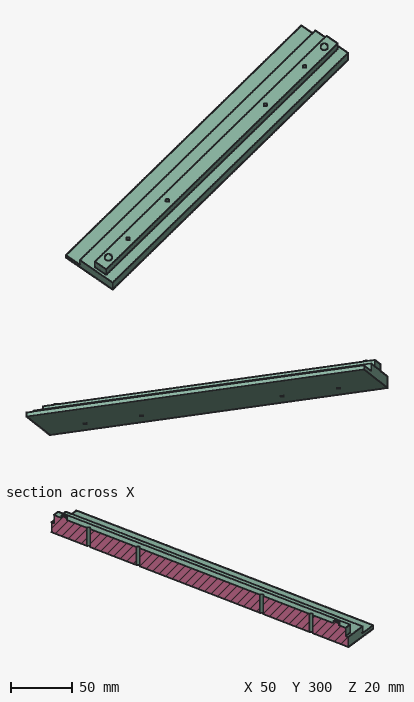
import cadquery as cq

BASE_LENGTH = 300.0
BASE_WIDTH = 50.0
BASE_HEIGHT = 10.0
LEDGE_WIDTH = 15.0
LEDGE_HEIGHT = 3.5

RAIL_WIDTH = 12.0
RAIL_HEIGHT = 8.0
RAIL_END_INSET = 2.5
RAIL_CENTRE_TO_EDGE = 15.0

PIN_DIAMETER = 6.0
PIN_HEIGHT = 2.0
PIN_FILLET = 1.0
PIN_SPACING = 275.0

HOLE_DIAMETER = 3.0
INNER_HOLE_SPACING = 125.0
OUTER_HOLE_SPACING = 225.0

RAIL_X = BASE_WIDTH / 2 - RAIL_CENTRE_TO_EDGE
RAIL_LENGTH = BASE_LENGTH - 2 * RAIL_END_INSET
RAIL_TOP = BASE_HEIGHT + RAIL_HEIGHT


def on_rail(spacings):
    """Points on the rail centreline, one symmetric pair for each spacing."""
    return [(RAIL_X, side * spacing / 2) for spacing in spacings for side in (-1, 1)]


def make_base():
    """Plate with a thin ledge along its -X edge, resting on Z = 0."""
    left = -BASE_WIDTH / 2
    right = BASE_WIDTH / 2
    step = left + LEDGE_WIDTH
    profile = [
        (left, 0),
        (right, 0),
        (right, BASE_HEIGHT),
        (step, BASE_HEIGHT),
        (step, LEDGE_HEIGHT),
        (left, LEDGE_HEIGHT),
    ]
    return cq.Workplane("XZ").polyline(profile).close().extrude(BASE_LENGTH / 2, both=True)


def make_rail():
    """Rectangular rail on top of the base, stopping short of both ends."""
    return (
        cq.Workplane("XY", origin=(RAIL_X, 0, BASE_HEIGHT))
        .rect(RAIL_WIDTH, RAIL_LENGTH)
        .extrude(RAIL_HEIGHT)
    )


def make_pins():
    """Round pins near the rail ends, filleted around the top edge."""
    return (
        cq.Workplane("XY", origin=(0, 0, RAIL_TOP))
        .pushPoints(on_rail([PIN_SPACING]))
        .circle(PIN_DIAMETER / 2)
        .extrude(PIN_HEIGHT)
        .faces(">Z")
        .edges()
        .fillet(PIN_FILLET)
    )


def make_holes():
    """Cutters for the holes running through both rail and base."""
    return (
        cq.Workplane("XY")
        .pushPoints(on_rail([INNER_HOLE_SPACING, OUTER_HOLE_SPACING]))
        .circle(HOLE_DIAMETER / 2)
        .extrude(RAIL_TOP)
    )


result = make_base().union(make_rail()).union(make_pins()).cut(make_holes())